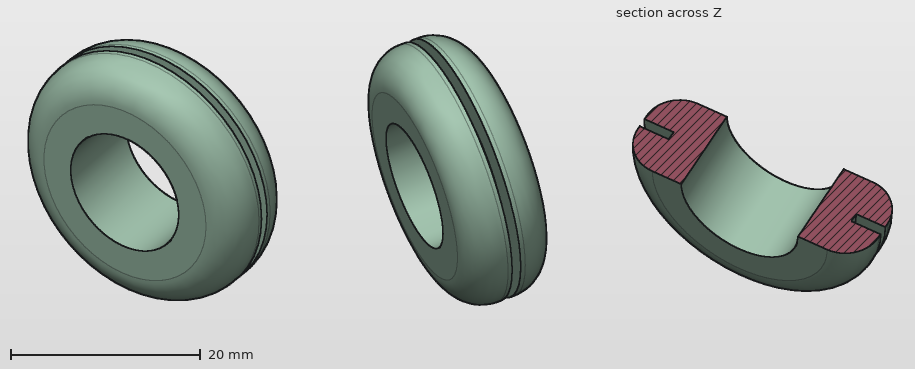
import cadquery as cq

outer_diameter = 29.0
bore_diameter = 14.0
groove_diameter = 22.0
thickness = 10.0
groove_width = 1.0
rim_radius = 4.0


def disc(diameter, length):
    """Cylinder on the Y axis, centred on the origin."""
    return cq.Workplane("XZ", origin=(0, length / 2, 0)).circle(diameter / 2).extrude(length)


def rounded_body():
    """Solid disc with both outer edges rounded."""
    return disc(outer_diameter, thickness).edges("%CIRCLE").fillet(rim_radius)


def panel_groove():
    """Ring of material removed to leave the groove that grips the panel."""
    return disc(outer_diameter, groove_width).cut(disc(groove_diameter, groove_width))


result = rounded_body().cut(panel_groove()).cut(disc(bore_diameter, thickness))